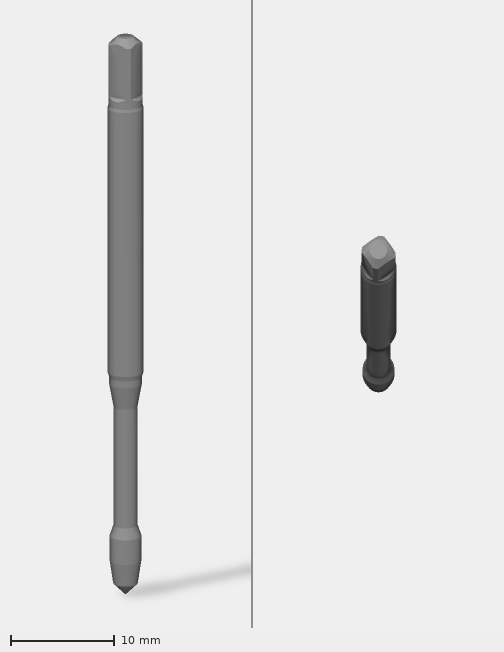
import cadquery as cq

total_length = 57.2
square_bottom = 51.25
collar_bottom = 50.2
body_top = 49.95
body_bottom = 22.9
relief_top = 22.35
relief_bottom = 21.7
taper_bottom = 19.35
seam_height = 19.15
head_top = 7.15
head_cylinder_top = 6.05
head_cylinder_bottom = 3.55

body_diameter = 3.5
collar_diameter = 3.3
relief_diameter = 3.2
neck_diameter = 2.35
head_diameter = 3.1
point_diameter = 2.4

across_flats = 2.7
top_face_diameter = 1.65
top_bevel_height = 0.75

point_height = point_diameter / 2


def revolve_profile(stations):
    """Revolve (diameter, z) stations, listed from bottom to top, around Z."""
    bottom = stations[0][1]
    top = stations[-1][1]
    outline = [(0, bottom)]
    outline += [(diameter / 2, z) for diameter, z in stations if diameter > 0]
    outline.append((0, top))
    return cq.Workplane("XZ").polyline(outline).close().revolve(360, (0, 0, 0), (0, 1, 0))


def flat_cutter(angle):
    """Cutter for one flat, with a 45 degree ramp running out below it."""
    flat_offset = across_flats / 2
    outer_offset = body_diameter
    ramp_drop = outer_offset - flat_offset
    outline = [
        (flat_offset, total_length),
        (flat_offset, square_bottom),
        (outer_offset, square_bottom - ramp_drop),
        (outer_offset, total_length),
    ]
    cutter = cq.Workplane("XZ").polyline(outline).close().extrude(body_diameter / 2, both=True)
    return cutter.rotate((0, 0, 0), (0, 0, 1), angle)


def make_shank():
    """Shank tapering down to the neck diameter, with a driving square on top."""
    shank = revolve_profile([
        (neck_diameter, seam_height),
        (neck_diameter, taper_bottom),
        (relief_diameter, relief_bottom),
        (relief_diameter, relief_top),
        (body_diameter, body_bottom),
        (body_diameter, body_top),
        (collar_diameter, collar_bottom),
        (collar_diameter, total_length - top_bevel_height),
        (top_face_diameter, total_length),
    ])
    for angle in (0, 90, 180, 270):
        shank = shank.cut(flat_cutter(angle))
    return shank


def make_tool():
    """Tool: cone point, tapered lead, cylinder and rear taper, on a long neck."""
    return revolve_profile([
        (0, 0),
        (point_diameter, point_height),
        (head_diameter, head_cylinder_bottom),
        (head_diameter, head_cylinder_top),
        (neck_diameter, head_top),
        (neck_diameter, seam_height),
    ])


shank = make_shank()
tool = make_tool()
result = cq.Compound.makeCompound([shank.val(), tool.val()])